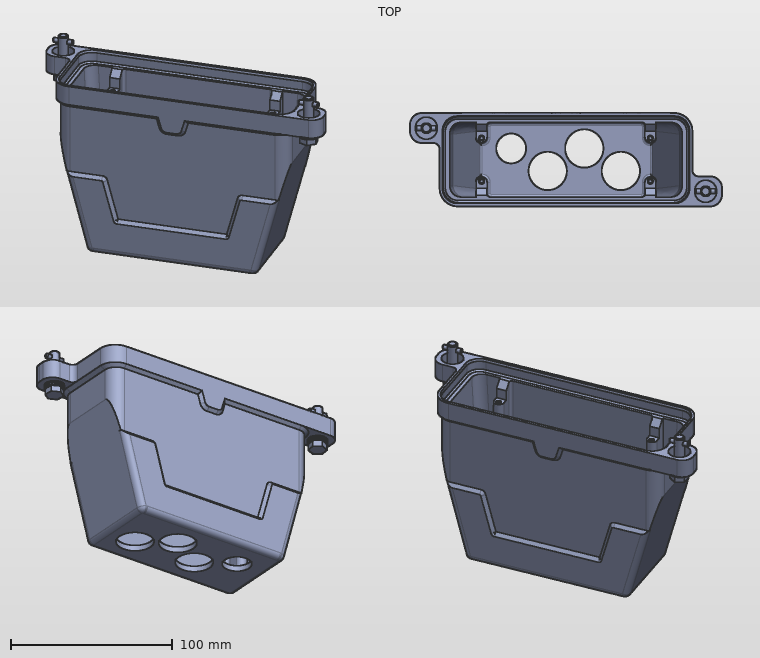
import cadquery as cq
import math


rim_top = 111.2
rim_height = 12.4
rim_bottom = rim_top - rim_height
floor_thickness = 3.9
ledge_z = 102.9

rim_length = 156.3
rim_width = 57.9
rim_radius = 11.4
overall_length = 193.0
lug_width = 18.7
lug_radius = 7.5
lug_blend_radius = 3.7

body_length = 150.3
body_width = 53.5
body_radius = 8.5
end_slope = math.tan(math.radians(15))
slope_start_z = 75.7

skin_width = 58.0
bevel_angle = 45
skin_top = 52.5
skin_corner_radius = 4.0
skin_floor_radius = 3.7
skin_step = (skin_width - body_width) / 2
panel_bottom = 24.5
panel_top_half = 43.0
panel_bottom_half = 35.3
panel_corner_radius = 3.3

tab_top_half = 8.7
tab_bottom_half = 5.8
tab_bottom = 89.2
tab_corner_radius = 3.0

clearance = 9.6
small_gap = 0.02

cavity_length = 143.5
cavity_width = 46.1
cavity_radius = 7.0
cavity_kink_length = 139.7
cavity_kink_z = 67.2
cavity_floor_length = 106.2
cavity_floor_width = 45.2
cavity_floor_radius = 4.6
floor_edge_radius = 1.4
mouth_length = 152.9
mouth_width = 54.0
mouth_radius = 9.5
mouth_lead_in = 0.5
mouth_lead_depth = 1.5
seat_bevel = 1.4
seat_bevel_height = 1.0

post_x = 52.1
post_hole_y = 13.3
post_half_width = 3.3
post_centre_y = 13.9
post_top = 91.7
post_root_radius = 2.0
rib_inner_y = 17.5
rib_inner_top = 98.5
screw_hole_diameter = 2.3
screw_sink_diameter = 3.5
screw_hole_depth = 11.5

cable_row_y = 7.0
cable_pitch = 22.5
small_cable_diameter = 18.3
large_cable_diameter = 23.5
cable_holes = [
    (-1.5 * cable_pitch, cable_row_y, small_cable_diameter),
    (-0.5 * cable_pitch, -cable_row_y, large_cable_diameter),
    (0.5 * cable_pitch, cable_row_y, large_cable_diameter),
    (1.5 * cable_pitch, -cable_row_y, large_cable_diameter),
]

bolt_x = 86.3
bolt_y = 19.5
bolt_top = 122.0
shaft_diameter = 6.4
shaft_chamfer = 0.8
pin_length = 13.3
pin_diameter = 3.0
pin_chamfer = 0.8
pin_z = 118.0
well_diameter = 13.7
well_depth = 9.6
washer_diameter = 12.5
washer_thickness = 2.9
tooth_count = 18
tooth_gap = 1.0
tooth_depth = 0.8
head_diameter = 11.8
head_height = 4.0
head_turn = 24.4


def rounded_block(length, width, radius, z_low, z_high):
    """Upright block with rounded vertical edges, centred on Z."""
    block = cq.Workplane("XY").workplane(offset=z_low).rect(length, width).extrude(z_high - z_low)
    return block.edges("|Z").fillet(radius)


def rounded_rectangle(length, width, radius):
    return cq.Sketch().rect(length, width).vertices().fillet(radius)


def rounded_loft(low, z_low, high, z_high):
    """Solid between two rounded rectangles, each given as (length, width, radius)."""
    return (
        cq.Workplane("XY")
        .placeSketch(
            rounded_rectangle(*low).moved(cq.Location(cq.Vector(0, 0, z_low))),
            rounded_rectangle(*high).moved(cq.Location(cq.Vector(0, 0, z_high))),
        )
        .loft(ruled=True)
    )


def xz_prism(points, width):
    """Prism of an XZ outline, centred on Y = 0."""
    return cq.Workplane("XZ").polyline(points).close().extrude(width / 2, both=True)


def half_turn(shape):
    return shape.rotate((0, 0, 0), (0, 0, 1), 180)


def tapered_end_outline(z_top):
    """XZ outline of the body: straight ends that lean inwards below slope_start_z."""
    top_half = body_length / 2 - max(0, slope_start_z - z_top) * end_slope
    floor_half = body_length / 2 - slope_start_z * end_slope
    right = [(floor_half, 0), (top_half, z_top)]
    if z_top > slope_start_z:
        right.insert(1, (body_length / 2, slope_start_z))
    return right + [(-x, z) for x, z in reversed(right)]


def make_upper_body():
    block = rounded_block(body_length, body_width, body_radius, skin_top, rim_bottom)
    return block.intersect(xz_prism(tapered_end_outline(rim_bottom), body_width))


def make_lower_skin():
    """Lower shell whose top edge steps down to a raised-panel outline on both long sides."""
    skin = xz_prism(tapered_end_outline(skin_top), skin_width)
    skin = skin.edges("not(#Z or |Y)").fillet(skin_corner_radius)
    return skin.faces("<Z").edges().fillet(skin_floor_radius)


def make_panel_cut():
    """Bevelled recess on the -Y side, from the body wall outwards."""
    far = body_length / 2 + clearance
    high = skin_top + clearance
    upper_corners = cq.selectors.BoxSelector(
        (-panel_top_half - clearance, skin_top - clearance, -clearance),
        (panel_top_half + clearance, skin_top + clearance, clearance),
    )
    outline = (
        cq.Sketch()
        .polygon([
            (-far, skin_top),
            (-panel_top_half, skin_top),
            (-panel_bottom_half, panel_bottom),
            (panel_bottom_half, panel_bottom),
            (panel_top_half, skin_top),
            (far, skin_top),
            (far, high),
            (-far, high),
            (-far, skin_top),
        ])
        .vertices(upper_corners)
        .fillet(panel_corner_radius)
    )
    return (
        cq.Workplane("XZ", origin=(0, -body_width / 2, 0))
        .placeSketch(outline)
        .extrude(skin_step + small_gap, taper=-bevel_angle)
    )


def make_tab():
    """Bevelled tab on the -Y side that hangs below the rim."""
    outline = (
        cq.Sketch()
        .polygon([
            (-tab_top_half, rim_bottom),
            (-tab_bottom_half, tab_bottom),
            (tab_bottom_half, tab_bottom),
            (tab_top_half, rim_bottom),
            (-tab_top_half, rim_bottom),
        ])
        .vertices("<Y")
        .fillet(tab_corner_radius)
    )
    return (
        cq.Workplane("XZ", origin=(0, -rim_width / 2, 0))
        .placeSketch(outline)
        .extrude((body_width - rim_width) / 2, taper=-bevel_angle)
    )


def make_lug():
    """Lug at the -X, +Y corner, blended into the end of the rim."""
    end_x = -overall_length / 2
    top_y = rim_width / 2
    lug_y = top_y - lug_width
    blend_x = -rim_length / 2
    inner_x = blend_x + rim_radius
    return (
        cq.Workplane("XY").workplane(offset=rim_bottom)
        .moveTo(end_x + lug_radius, top_y)
        .lineTo(inner_x, top_y)
        .lineTo(inner_x, lug_y - lug_blend_radius)
        .lineTo(blend_x, lug_y - lug_blend_radius)
        .radiusArc((blend_x - lug_blend_radius, lug_y), -lug_blend_radius)
        .lineTo(end_x + lug_radius, lug_y)
        .radiusArc((end_x, lug_y + lug_radius), lug_radius)
        .lineTo(end_x, top_y - lug_radius)
        .radiusArc((end_x + lug_radius, top_y), lug_radius)
        .close()
        .extrude(rim_height)
    )


def make_rim():
    rim = rounded_block(rim_length, rim_width, rim_radius, rim_bottom, rim_top)
    lug = make_lug()
    bevel = (rim_width - body_width) / 2
    under_bevel = rounded_loft(
        (body_length, body_width, body_radius), rim_bottom - bevel,
        (rim_length, rim_width, rim_radius), rim_bottom,
    )
    return rim.union(under_bevel).union(lug).union(half_turn(lug))


def post_root_edges():
    """Selector for the upright edges where the inner post sides meet the long walls."""
    reach = post_x - small_gap
    wall_inner = cavity_floor_width / 2 - small_gap
    wall_outer = cavity_width / 2
    low_z = floor_thickness + clearance
    near_wall = cq.selectors.BoxSelector((-reach, -wall_outer, low_z), (reach, -wall_inner, post_top))
    far_wall = cq.selectors.BoxSelector((-reach, wall_inner, low_z), (reach, wall_outer, post_top))
    return near_wall + far_wall


def make_cavity():
    """Drafted pocket around the posts; its ends lean inwards below the kink."""
    floor = (cavity_floor_length, cavity_floor_width, cavity_floor_radius)
    kink_fraction = (cavity_kink_z - floor_thickness) / (ledge_z - floor_thickness)
    kink_width = cavity_floor_width + (cavity_width - cavity_floor_width) * kink_fraction
    kink = (cavity_kink_length, kink_width, cavity_radius)
    top = (cavity_length, cavity_width, cavity_radius)
    lower = rounded_loft(floor, floor_thickness, kink, cavity_kink_z)
    cavity = lower.union(rounded_loft(kink, cavity_kink_z, top, ledge_z))
    for side in (-1, 1):
        post = make_post(side * post_x)
        cavity = cavity.cut(post).cut(post.mirror("XZ"))
    cavity = cavity.edges(post_root_edges()).fillet(post_root_radius)
    return cavity.faces("<Z").edges().fillet(floor_edge_radius)


def make_mouth():
    """Stepped opening in the rim above the seal ledge."""
    lead_z = rim_top - mouth_lead_depth
    bevel_z = ledge_z + seat_bevel_height
    top = (mouth_length, mouth_width, mouth_radius)
    wall = [size - 2 * mouth_lead_in for size in top[:2]] + [mouth_radius - mouth_lead_in]
    seat = [size - 2 * seat_bevel for size in wall[:2]] + [wall[2] - seat_bevel]
    mouth = rounded_loft(seat, ledge_z, wall, bevel_z)
    mouth = mouth.union(rounded_block(*wall, bevel_z, lead_z))
    return mouth.union(rounded_loft(wall, lead_z, top, rim_top))


def make_post(x):
    """Screw post on the +Y wall, with a sloped rib behind it."""
    root_y = (cavity_width + body_width) / 4
    height = ledge_z - floor_thickness
    draft = math.degrees(math.atan((cavity_width - cavity_floor_width) / 2 / height))
    left = x - post_half_width
    right = x + post_half_width
    post = (
        cq.Workplane("XY").workplane(offset=ledge_z)
        .moveTo(left, root_y)
        .lineTo(left, post_centre_y)
        .threePointArc((x, post_centre_y - post_half_width), (right, post_centre_y))
        .lineTo(right, root_y)
        .close()
        .extrude(-height, taper=-draft)
    )
    slope_end_y = rib_inner_y + ledge_z - rib_inner_top
    step = (
        cq.Workplane("YZ", origin=(x, 0, 0))
        .polyline([
            (0, post_top),
            (rib_inner_y, post_top),
            (rib_inner_y, rib_inner_top),
            (slope_end_y, ledge_z),
            (slope_end_y, rim_top),
            (0, rim_top),
        ])
        .close()
        .extrude(2 * post_half_width, both=True)
    )
    return post.cut(step)


def make_screw_hole(x, y):
    sink = (screw_sink_diameter - screw_hole_diameter) / 2
    hole_bottom = post_top - screw_hole_depth
    hole = (
        cq.Workplane("XY", origin=(x, y, hole_bottom))
        .circle(screw_hole_diameter / 2)
        .extrude(screw_hole_depth)
    )
    countersink = cq.Workplane(
        cq.Solid.makeCone(
            screw_hole_diameter / 2, screw_sink_diameter / 2, sink, pnt=cq.Vector(x, y, post_top - sink)
        )
    )
    return hole.union(countersink)


def make_bolt(turn):
    """Locking bolt on the Z axis: shaft with cross pin, toothed washer and hex head."""
    shaft = (
        cq.Workplane("XY").workplane(offset=rim_bottom)
        .circle(shaft_diameter / 2)
        .extrude(bolt_top - rim_bottom)
        .faces(">Z").chamfer(shaft_chamfer)
    )
    pin = (
        cq.Workplane("YZ", origin=(0, 0, pin_z))
        .circle(pin_diameter / 2)
        .extrude(pin_length / 2, both=True)
        .faces("<X or >X").chamfer(pin_chamfer)
    )
    washer_bottom = rim_bottom - washer_thickness
    washer = (
        cq.Workplane("XY").workplane(offset=washer_bottom)
        .circle(washer_diameter / 2)
        .extrude(washer_thickness)
    )
    gaps = (
        cq.Workplane("XY").workplane(offset=washer_bottom)
        .polarArray(washer_diameter / 2, 0, 360, tooth_count)
        .rect(2 * tooth_depth, tooth_gap)
        .extrude(washer_thickness)
    )
    head = (
        cq.Workplane("XY").workplane(offset=washer_bottom - head_height)
        .polygon(6, head_diameter)
        .extrude(head_height)
        .rotate((0, 0, 0), (0, 0, 1), turn)
    )
    return shaft.union(pin).union(washer.cut(gaps)).union(head)


panel_cut = make_panel_cut()
tab = make_tab()
lower_skin = make_lower_skin().cut(panel_cut).cut(half_turn(panel_cut))
envelope = make_upper_body().union(lower_skin).union(make_rim()).union(tab).union(half_turn(tab))

hood = envelope.cut(make_cavity()).cut(make_mouth())
for x in (-post_x, post_x):
    for y in (-post_hole_y, post_hole_y):
        hood = hood.cut(make_screw_hole(x, y))

for x, y, diameter in cable_holes:
    hood = hood.cut(cq.Workplane("XY", origin=(x, y, 0)).circle(diameter / 2).extrude(rim_bottom))

for side in (-1, 1):
    place = (side * bolt_x, -side * bolt_y, 0)
    well = (
        cq.Workplane("XY", origin=place).workplane(offset=rim_top - well_depth)
        .circle(well_diameter / 2)
        .extrude(well_depth)
    )
    hood = hood.cut(well).union(make_bolt(-side * head_turn).translate(place))

result = hood